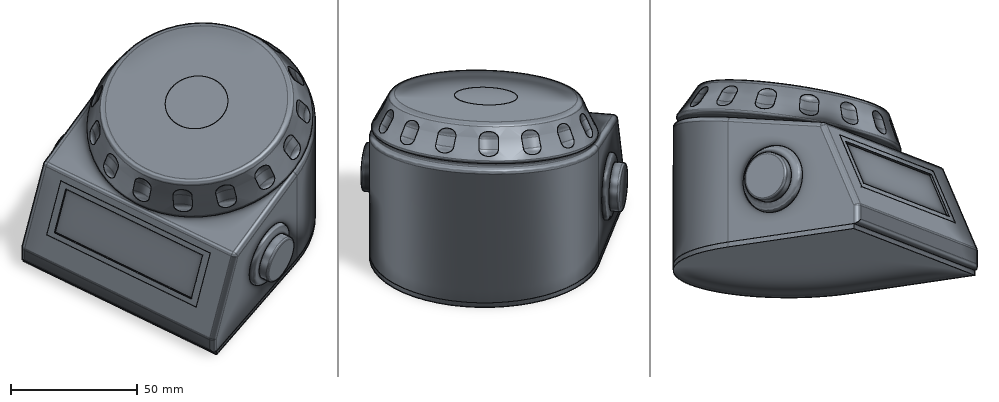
import cadquery as cq
import math

BODY_RADIUS = 45.7
BODY_LENGTH = 106.2
BODY_FRONT = BODY_RADIUS - BODY_LENGTH
TILT = 10.0
TOP_AT_AXIS = 53.2
FRONT_HEIGHT = 10.0
DISPLAY_SLOPE = 65.4
FRONT_LEAN = 90.0
EDGE_FILLET = 2.0

BASE_THICKNESS = 2.0

DISPLAY_WIDTH = 70.5
DISPLAY_LENGTH = 24.6
DISPLAY_DEPTH = 2.1
SCREEN_WIDTH = 64.5
SCREEN_LENGTH = 20.0
SCREEN_SUNK = 0.8
DISPLAY_X = -0.6
DISPLAY_MID_HEIGHT = 30.6

BUTTON_Y = -21.1
BUTTON_Z = 25.0
BUTTON_DIAMETER = 19.5
BUTTON_REACH = 6.4
BUTTON_FILLET = 0.8
RING_DIAMETER = 27.1
RING_HEIGHT = 2.2
RING_SHOULDER = 1.5

DIAL_BASE_Z = 54.8
DIAL_HEIGHT = 15.0
DIAL_BOTTOM_RADIUS = 45.5
DIAL_TOP_RADIUS = 37.8
DIAL_TOP_FILLET = 2.5
DIAL_BOTTOM_FILLET = 1.0
CAP_DIAMETER = 25.0
CAP_THICKNESS = 2.1

GRIP_COUNT = 15
GRIP_RADIUS = 9.6
GRIP_DEPTH = 1.0
GRIP_LENGTH = 14.0
GRIP_END_FILLET = 4.9
GRIP_HEIGHT = 7.4

tilt_tan = math.tan(math.radians(TILT))
slope_tan = math.tan(math.radians(DISPLAY_SLOPE))

crest_y = (TOP_AT_AXIS - FRONT_HEIGHT + slope_tan * BODY_FRONT) / (slope_tan - tilt_tan)
crest_z = TOP_AT_AXIS + tilt_tan * crest_y


def d_block(front, bottom, top):
    """Upright block, straight at the front and sides and round at the back."""
    return (
        cq.Workplane("XY", origin=(0, 0, bottom))
        .moveTo(-BODY_RADIUS, front)
        .lineTo(BODY_RADIUS, front)
        .lineTo(BODY_RADIUS, 0)
        .threePointArc((0, BODY_RADIUS), (-BODY_RADIUS, 0))
        .close()
        .extrude(top - bottom)
    )


def forward_normal(lean):
    """Outward normal of a face that leans forward from the horizontal by the given degrees."""
    angle = math.radians(lean)
    return cq.Vector(0, -math.sin(angle), math.cos(angle))


def slope_plane():
    """Plane of the display slope: origin at the display centre, local X along +X, Z outward."""
    centre_y = BODY_FRONT + (DISPLAY_MID_HEIGHT - FRONT_HEIGHT) / slope_tan
    return cq.Plane(
        origin=(DISPLAY_X, centre_y, DISPLAY_MID_HEIGHT),
        xDir=(1, 0, 0),
        normal=forward_normal(DISPLAY_SLOPE),
    )


def display_blank():
    return cq.Workplane(slope_plane()).rect(DISPLAY_WIDTH, DISPLAY_LENGTH).extrude(-DISPLAY_DEPTH)


def make_display():
    screen = cq.Workplane(slope_plane()).rect(SCREEN_WIDTH, SCREEN_LENGTH).extrude(-SCREEN_SUNK)
    return display_blank().cut(screen)


def make_housing():
    back_z = TOP_AT_AXIS + tilt_tan * BODY_RADIUS
    side_profile = (
        cq.Workplane("YZ", origin=(-BODY_RADIUS, 0, 0))
        .polyline([
            (BODY_FRONT, BASE_THICKNESS),
            (BODY_RADIUS, BASE_THICKNESS),
            (BODY_RADIUS, back_z),
            (crest_y, crest_z),
            (BODY_FRONT, FRONT_HEIGHT),
        ])
        .close()
        .extrude(2 * BODY_RADIUS)
    )
    block = d_block(BODY_FRONT, BASE_THICKNESS, back_z).intersect(side_profile)
    for_rounding = block.newObject([])
    for lean in (TILT, DISPLAY_SLOPE, FRONT_LEAN):
        for_rounding = for_rounding.add(block.faces(cq.selectors.ParallelDirSelector(forward_normal(lean))))
    rounded = block.newObject(for_rounding.edges().vals()).fillet(EDGE_FILLET)
    return rounded.cut(display_blank())


def make_base():
    return d_block(BODY_FRONT + EDGE_FILLET, 0, BASE_THICKNESS)


def make_button(side):
    """Round push button with a rounded ring; side is -1 or +1 along X."""
    plane = cq.Plane(origin=(side * BODY_RADIUS, BUTTON_Y, BUTTON_Z), xDir=(0, 1, 0), normal=(side, 0, 0))
    plunger = (
        cq.Workplane(plane)
        .circle(BUTTON_DIAMETER / 2)
        .extrude(BUTTON_REACH)
        .faces(">X" if side > 0 else "<X")
        .edges()
        .fillet(BUTTON_FILLET)
    )
    inner = BUTTON_DIAMETER / 2
    outer = RING_DIAMETER / 2
    ring = (
        cq.Workplane("XY")
        .lineTo(outer, 0)
        .bezier([
            (outer, 0),
            (outer, RING_HEIGHT),
            (outer - RING_SHOULDER, RING_HEIGHT),
            (inner, RING_HEIGHT),
        ])
        .lineTo(0, RING_HEIGHT)
        .close()
        .revolve(360, (0, 0, 0), (0, 1, 0))
    )
    ring = ring.rotate((0, 0, 0), (0, 0, 1), -90 * side).translate(plane.origin)
    return plunger.union(ring)


def place_on_tilt(body):
    """Lean a body built upright on the origin and lift it to the dial's place."""
    return body.rotate((0, 0, 0), (1, 0, 0), TILT).translate((0, 0, DIAL_BASE_Z))


def cap_blank():
    return (
        cq.Workplane("XY", origin=(0, 0, DIAL_HEIGHT - CAP_THICKNESS))
        .circle(CAP_DIAMETER / 2)
        .extrude(CAP_THICKNESS)
    )


def grip_cutter():
    """Rounded-end cylinder lying along the taper, on the dial's +X side."""
    taper = math.atan2(DIAL_BOTTOM_RADIUS - DIAL_TOP_RADIUS, DIAL_HEIGHT)
    surface_radius = DIAL_BOTTOM_RADIUS - GRIP_HEIGHT * math.tan(taper)
    axis_offset = GRIP_RADIUS - GRIP_DEPTH
    return (
        cq.Workplane("XY")
        .circle(GRIP_RADIUS)
        .extrude(GRIP_LENGTH / 2, both=True)
        .edges()
        .fillet(GRIP_END_FILLET)
        .translate((axis_offset, 0, 0))
        .rotate((0, 0, 0), (0, 1, 0), -math.degrees(taper))
        .translate((surface_radius, 0, GRIP_HEIGHT))
    )


def make_dial():
    dial = (
        cq.Workplane("XZ")
        .polyline([(0, 0), (DIAL_BOTTOM_RADIUS, 0), (DIAL_TOP_RADIUS, DIAL_HEIGHT), (0, DIAL_HEIGHT)])
        .close()
        .revolve(360, (0, 0, 0), (0, 1, 0))
    )
    dial = dial.faces(">Z").edges().fillet(DIAL_TOP_FILLET)
    dial = dial.faces("<Z").edges().fillet(DIAL_BOTTOM_FILLET)
    cutter = grip_cutter()
    for i in range(GRIP_COUNT):
        angle = i * 360 / GRIP_COUNT - 90
        dial = dial.cut(cutter.rotate((0, 0, 0), (0, 0, 1), angle))
    return place_on_tilt(dial.cut(cap_blank()))


housing = make_housing()
base = make_base()
display = make_display()
buttons = [make_button(side) for side in (-1, 1)]
dial = make_dial()
cap = place_on_tilt(cap_blank())

result = cq.Compound.makeCompound([
    housing.val(),
    base.val(),
    display.val(),
    *[button.val() for button in buttons],
    dial.val(),
    cap.val(),
])